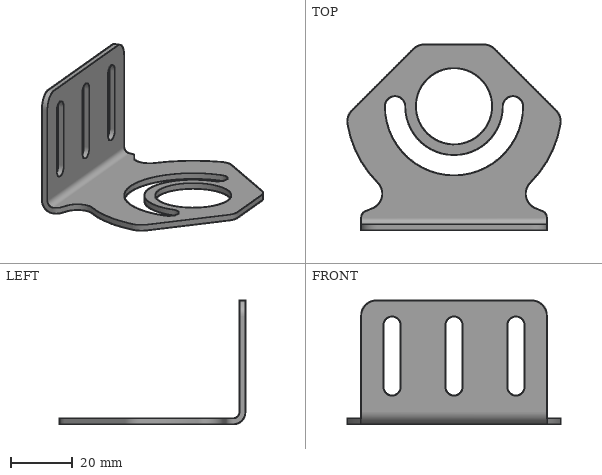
import cadquery as cq
import math

thickness = 2.0
bend_inner_radius = 2.0
bend_outer_radius = bend_inner_radius + thickness
height = 40.0

overall_width = 68.9
back_y = 20.0
front_y = -40.0
base_arc_radius = 34.85
corner_radius = 5.0
notch_radius = 5.0
foot_radius = 2.5
bore_radius = 12.25
arc_slot_radius = 19.0
arc_slot_width = 6.5

flange_width = 60.0
slot_pitch = 20.0
slot_width = 5.45
slot_length = 25.4
slot_center_z = 22.05
slot_columns = (-1, 0, 1)


def polar(center, radius, angle):
    """Point at an angle in degrees on a circle."""
    turn = math.radians(angle)
    return (center[0] + radius * math.cos(turn), center[1] + radius * math.sin(turn))


def direction(start, end):
    """Direction from start to end, in degrees."""
    return math.degrees(math.atan2(end[1] - start[1], end[0] - start[0]))


def right_half_plate():
    """Half of the base plate at X >= 0, ending where the bend starts."""
    origin = (0, 0)
    bend_y = front_y + bend_outer_radius

    foot = (flange_width / 2 - foot_radius, bend_y)
    notch = polar(origin, base_arc_radius + notch_radius, -45)
    spread = math.degrees(math.acos((foot_radius + notch_radius) / math.dist(foot, notch)))
    foot_end = direction(foot, notch) - spread
    notch_start = foot_end + 180
    notch_end = 135

    side_x = overall_width / 2 - corner_radius
    side = (side_x, -math.sqrt((base_arc_radius - corner_radius) ** 2 - side_x ** 2))
    side_start = direction(origin, side)
    back_center_y = back_y - corner_radius
    back = (side[0] + side[1] - back_center_y, back_center_y)

    return (
        cq.Workplane("XY")
        .moveTo(0, bend_y)
        .lineTo(flange_width / 2, bend_y)
        .threePointArc(polar(foot, foot_radius, foot_end / 2), polar(foot, foot_radius, foot_end))
        .lineTo(*polar(notch, notch_radius, notch_start))
        .threePointArc(
            polar(notch, notch_radius, (notch_start + notch_end) / 2),
            polar(notch, notch_radius, notch_end),
        )
        .threePointArc(
            polar(origin, base_arc_radius, (side_start - 45) / 2),
            polar(origin, base_arc_radius, side_start),
        )
        .threePointArc(
            polar(side, corner_radius, (side_start + 45) / 2),
            polar(side, corner_radius, 45),
        )
        .lineTo(*polar(back, corner_radius, 45))
        .threePointArc(polar(back, corner_radius, 67.5), polar(back, corner_radius, 90))
        .lineTo(0, back_y)
        .close()
        .extrude(thickness)
    )


def arc_slot():
    """Half-ring slot below the bore, with round ends on the X axis."""
    outer = arc_slot_radius + arc_slot_width / 2
    inner = arc_slot_radius - arc_slot_width / 2
    end_radius = arc_slot_width / 2
    return (
        cq.Workplane("XY")
        .moveTo(-outer, 0)
        .threePointArc((0, -outer), (outer, 0))
        .threePointArc((arc_slot_radius, end_radius), (inner, 0))
        .threePointArc((0, -inner), (-inner, 0))
        .threePointArc((-arc_slot_radius, end_radius), (-outer, 0))
        .close()
        .extrude(thickness)
    )


def base_plate():
    half = right_half_plate()
    bore = cq.Workplane("XY").circle(bore_radius).extrude(thickness)
    return half.union(half.mirror("YZ")).cut(bore).cut(arc_slot())


def bent_flange():
    """Quarter-round bend and upright flange with three vertical slots."""
    bend_center = (front_y + bend_outer_radius, bend_outer_radius)
    inner_y = front_y + thickness
    flange = (
        cq.Workplane("YZ")
        .moveTo(bend_center[0], 0)
        .threePointArc(polar(bend_center, bend_outer_radius, 225), (front_y, bend_outer_radius))
        .lineTo(front_y, height)
        .lineTo(inner_y, height)
        .lineTo(inner_y, bend_outer_radius)
        .threePointArc(polar(bend_center, bend_inner_radius, 225), (bend_center[0], thickness))
        .close()
        .extrude(flange_width / 2, both=True)
        .edges("|Y and >Z")
        .fillet(corner_radius)
    )
    slots = (
        cq.Workplane("XZ", origin=(0, inner_y, 0))
        .pushPoints([(column * slot_pitch, slot_center_z) for column in slot_columns])
        .slot2D(slot_length, slot_width, 90)
        .extrude(thickness)
    )
    return flange.cut(slots)


result = base_plate().union(bent_flange())